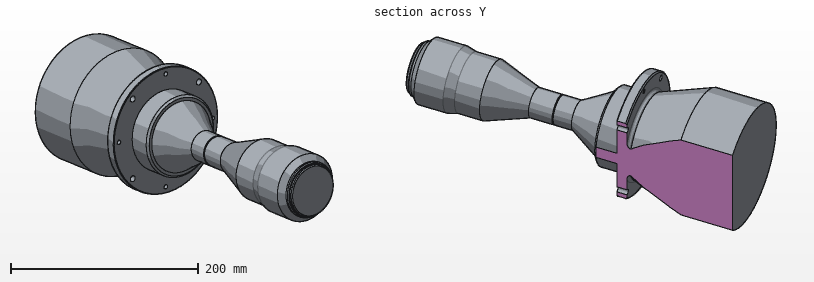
import cadquery as cq

length = 388.0
body_radius = 71.0

barrel_end = 60.0
taper_end = 118.5
taper_end_radius = 49.3
root_end = 119.5

flange_front = 123.0
flange_back = 135.0
flange_front_chamfer = 1.5
flange_back_chamfer = 0.8
root_fillet = flange_front - root_end

collar_end = 161.5
collar_radius = 45.8
collar_chamfer = 2.5
rear_cone_radius = 40.0

neck_start = 200.2
neck_end = 250.3
neck_radius = 17.0
groove_start = 221.5
groove_width = 1.0
groove_depth = 0.5

rear_start = 299.5
rear_radius = 34.5
step_start = 328.5
head_start = 340.5
head_radius = 37.5
head_end = 374.5

tip_start = 381.0
tip_radius = 31.0
tip_chamfer = 1.0
cap_start = 384.5
cap_radius = 28.7
cap_chamfer = 1.0

hole_circle_radius = 63.5
mount_hole_diameter = 6.5
small_hole_diameter = 4.5
holes_per_set = 4
mount_hole_angle = 45.0


def turned_body():
    """Revolve the (axial, radial) half profile about the X axis."""
    half_root = root_fillet * 0.5 ** 0.5
    root_radius = taper_end_radius + root_fillet
    groove_end = groove_start + groove_width
    profile = (
        cq.Workplane("XZ")
        .lineTo(0, body_radius)
        .lineTo(barrel_end, body_radius)
        .lineTo(taper_end, taper_end_radius)
        .lineTo(root_end, taper_end_radius)
        .threePointArc(
            (root_end + half_root, root_radius - half_root),
            (flange_front, root_radius),
        )
        .lineTo(flange_front, body_radius - flange_front_chamfer)
        .lineTo(flange_front + flange_front_chamfer, body_radius)
        .lineTo(flange_back - flange_back_chamfer, body_radius)
        .lineTo(flange_back, body_radius - flange_back_chamfer)
        .lineTo(flange_back, collar_radius)
        .lineTo(collar_end - collar_chamfer, collar_radius)
        .lineTo(collar_end, collar_radius - collar_chamfer)
        .lineTo(collar_end, rear_cone_radius)
        .lineTo(neck_start, neck_radius)
        .lineTo(groove_start, neck_radius)
        .lineTo(groove_start, neck_radius - groove_depth)
        .lineTo(groove_end, neck_radius - groove_depth)
        .lineTo(groove_end, neck_radius)
        .lineTo(neck_end, neck_radius)
        .lineTo(rear_start, rear_radius)
        .lineTo(step_start, rear_radius)
        .lineTo(head_start, head_radius)
        .lineTo(head_end, head_radius)
        .lineTo(tip_start, tip_radius)
        .lineTo(cap_start - tip_chamfer, tip_radius)
        .lineTo(cap_start, tip_radius - tip_chamfer)
        .lineTo(cap_start, cap_radius)
        .lineTo(length - cap_chamfer, cap_radius)
        .lineTo(length, cap_radius - cap_chamfer)
        .lineTo(length, 0)
        .close()
    )
    return profile.revolve(360, (0, 0, 0), (1, 0, 0))


def flange_holes(diameter, start_angle):
    """Ring of pins that cut evenly spaced holes through the flange."""
    return (
        cq.Workplane("YZ", origin=(flange_front, 0, 0))
        .polarArray(hole_circle_radius, start_angle, 360, holes_per_set)
        .circle(diameter / 2)
        .extrude(flange_back - flange_front)
    )


result = (
    turned_body()
    .cut(flange_holes(mount_hole_diameter, mount_hole_angle))
    .cut(flange_holes(small_hole_diameter, 0))
)